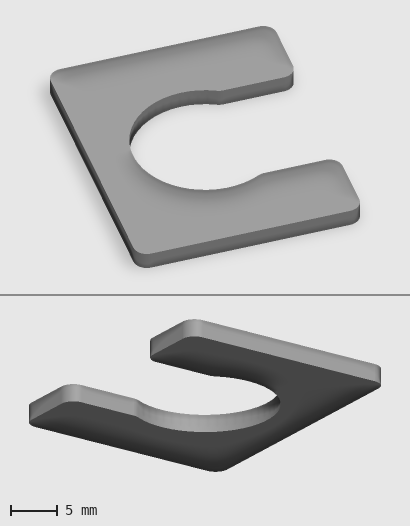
import cadquery as cq

length = 31.5
width = 25.4
thickness = 2.0
corner_radius = 1.5

bore_radius = 8.1
slot_width = 14.1
neck_radius = 1.5

plate = cq.Workplane("XY").box(length, width, thickness, centered=(True, True, False))
bore = cq.Workplane("XY").circle(bore_radius).extrude(thickness)
slot = (
    cq.Workplane("XY")
    .center(0, width / 2)
    .rect(slot_width, width)
    .extrude(thickness)
)
opening = bore.union(slot)

neck_reach = slot_width / 2 + neck_radius / 2
neck_zone = cq.selectors.BoxSelector(
    (-neck_reach, neck_radius, 0),
    (neck_reach, bore_radius, thickness),
)
opening = opening.edges("|Z").edges(neck_zone).fillet(neck_radius)

mouth_corners = cq.selectors.BoxSelector(
    (-length, width / 2 - corner_radius, 0),
    (length, width, thickness),
)
result = plate.edges("|Z and <Y").fillet(corner_radius).cut(opening)
result = result.edges("|Z").edges(mouth_corners).fillet(corner_radius)